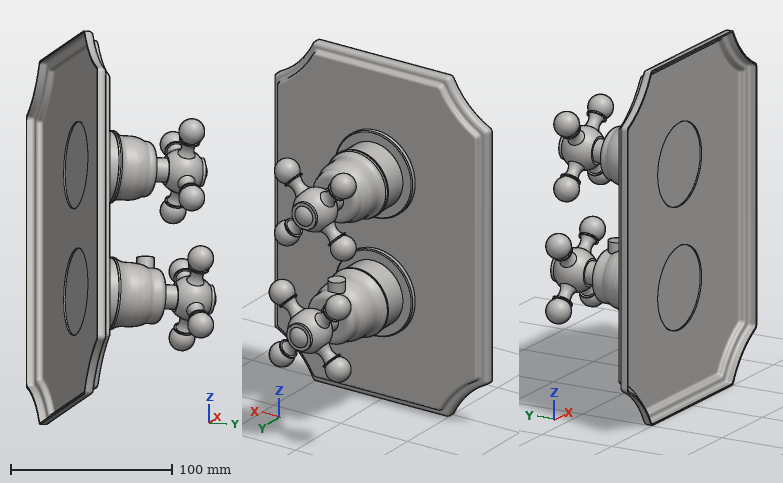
import cadquery as cq
import math


plate_height = 230.0
plate_width = 160.0
plate_depth = 10.0
rim_height = 6.0
rim_round = 3.0
step_inset = 5.0
cove_radius = 1.8
panel_round = 1.95
shelf_tolerance = 0.02
corner_center_offset = 25.0
corner_scallop_radius = 60.0
corner_blend = 3.2

rim_wall = 1.0
sheet_thickness = 1.0
hollow_rim_round = 1.95
hollow_step_inset = 5.0
hollow_corner_blend = 2.5

valve_spacing = 80.0
opening_radius = 27.1
flange_radius = 29.0
flange_top = 13.3
flange_chamfer = 0.7
sleeve_radius = 22.0
sleeve_top = 30.4
ring_radius = 22.8
ring_top = 31.5
flare_radius = 22.3
flare_base = 32.7
barrel_radius = 20.0
shoulder_radius = 18.2
collar_radius = 17.2
collar_round = 4.1
flare_hollow = 0.5
neck_hollow = 0.2

upper_body = {"barrel_base": 36.5, "barrel_top": 43.2, "shoulder_top": 50.4, "neck_top": 53.0, "top": 57.5}
lower_body = {"barrel_base": 38.9, "barrel_top": 43.7, "shoulder_top": 52.7, "neck_top": 55.2, "top": 63.2}

stem_radius = 7.5
hub_radius = 14.0
hub_base = 9.5
hub_cap_radius = 9.0
hub_center = hub_base + math.sqrt(hub_radius**2 - hub_cap_radius**2)
cap_base = 2 * hub_center - hub_base
cap_top = 33.0
dome_radius = 6.7
dome_top = 35.9

arm_base_radius = 5.5
arm_waist_radius = 4.0
arm_end_radius = 5.3
arm_base = math.sqrt(hub_radius**2 - arm_base_radius**2)
bead_radius = 6.5
bead_start = 22.5
bead_end = 23.5
ball_radius = 8.0
ball_center = 29.7
arm_count = 4

pin_radius = 5.5
pin_height = 53.8
pin_reach = 24.0


def plate_outline(inset):
    """Rectangle with concave corners, drawn in XZ and offset inward by inset."""
    half_x = plate_width / 2 - inset
    half_z = plate_height / 2 - inset
    center_x = plate_width / 2 + corner_center_offset
    center_z = plate_height / 2 + corner_center_offset
    radius = corner_scallop_radius + inset
    reach = math.sqrt(radius**2 - (corner_center_offset + inset) ** 2)
    edge_x = center_x - reach
    edge_z = center_z - reach
    mid_x = center_x - radius / math.sqrt(2)
    mid_z = center_z - radius / math.sqrt(2)
    return (
        cq.Workplane("XZ")
        .moveTo(-edge_x, half_z)
        .lineTo(edge_x, half_z)
        .threePointArc((mid_x, mid_z), (half_x, edge_z))
        .lineTo(half_x, -edge_z)
        .threePointArc((mid_x, -mid_z), (edge_x, -half_z))
        .lineTo(-edge_x, -half_z)
        .threePointArc((-mid_x, -mid_z), (-half_x, -edge_z))
        .lineTo(-half_x, edge_z)
        .threePointArc((-mid_x, mid_z), (-edge_x, half_z))
        .close()
    )


def moulded_block(inset, base_height, base_round, panel_inset, top_height, blend):
    """Stepped block: rounded rim, cove, and a raised panel with rounded edge."""
    base = plate_outline(inset).extrude(-base_height).edges("|Y").fillet(blend)
    base = base.faces(">Y").edges().fillet(base_round)
    panel = plate_outline(inset + panel_inset).extrude(-top_height).edges("|Y").fillet(blend)
    panel = panel.faces(">Y").edges().fillet(panel_round)
    block = base.union(panel)
    shelf = block.faces(cq.selectors.BoxSelector(
        (-plate_width, base_height - shelf_tolerance, -plate_height),
        (plate_width, base_height + shelf_tolerance, plate_height),
        boundingbox=True,
    )).val()
    cove_edges = shelf.innerWires()[0].Edges()
    return block.newObject(cove_edges).fillet(cove_radius)


def make_plate():
    outside = moulded_block(0, rim_height, rim_round, step_inset, plate_depth, corner_blend)
    hollow = moulded_block(
        rim_wall,
        rim_height - sheet_thickness,
        hollow_rim_round,
        hollow_step_inset,
        plate_depth - sheet_thickness,
        hollow_corner_blend,
    )
    openings = (
        cq.Workplane("XZ")
        .pushPoints([(0, valve_spacing / 2), (0, -valve_spacing / 2)])
        .circle(opening_radius)
        .extrude(-plate_depth)
    )
    return outside.cut(hollow).cut(openings)


def make_body(body):
    """Turned valve body about the Y axis."""
    return (
        cq.Workplane("XY")
        .moveTo(0, plate_depth)
        .lineTo(flange_radius, plate_depth)
        .lineTo(flange_radius, flange_top - flange_chamfer)
        .lineTo(flange_radius - flange_chamfer, flange_top)
        .lineTo(sleeve_radius, flange_top)
        .lineTo(sleeve_radius, sleeve_top)
        .lineTo(ring_radius, sleeve_top)
        .lineTo(ring_radius, ring_top)
        .lineTo(flare_radius, flare_base)
        .sagittaArc((barrel_radius, body["barrel_base"]), flare_hollow)
        .lineTo(barrel_radius, body["barrel_top"])
        .tangentArcPoint((shoulder_radius, body["shoulder_top"]), relative=False)
        .sagittaArc((collar_radius, body["neck_top"]), neck_hollow)
        .lineTo(collar_radius, body["top"] - collar_round)
        .tangentArcPoint((collar_radius - collar_round, body["top"]), relative=False)
        .lineTo(0, body["top"])
        .close()
        .revolve(360, (0, 0), (0, 1))
    )


def dome_midpoint():
    """Point of the dome's spherical profile halfway between rim and axis."""
    rise = dome_top - cap_top
    radius = (dome_radius**2 + rise**2) / (2 * rise)
    half_angle = math.asin(dome_radius / radius) / 2
    return (radius * math.sin(half_angle), dome_top - radius + radius * math.cos(half_angle))


def make_hub():
    """Stem, truncated ball, cap and dome, starting at the body top (Y = 0)."""
    return (
        cq.Workplane("XY")
        .lineTo(stem_radius, 0)
        .lineTo(stem_radius, hub_base)
        .lineTo(hub_cap_radius, hub_base)
        .threePointArc((hub_radius, hub_center), (hub_cap_radius, cap_base))
        .lineTo(hub_cap_radius, cap_top)
        .lineTo(dome_radius, cap_top)
        .threePointArc(dome_midpoint(), (0, dome_top))
        .close()
        .revolve(360, (0, 0), (0, 1))
    )


def make_arm():
    """Waisted arm with a bead and a ball, turned about the Z axis."""
    ball_at_bead = math.sqrt(ball_radius**2 - (ball_center - bead_end) ** 2)
    return (
        cq.Workplane("XZ")
        .lineTo(arm_base_radius, 0)
        .lineTo(arm_base_radius, arm_base)
        .threePointArc((arm_waist_radius, (arm_base + bead_start) / 2), (arm_end_radius, bead_start))
        .lineTo(bead_radius, bead_start)
        .lineTo(bead_radius, bead_end)
        .lineTo(ball_at_bead, bead_end)
        .threePointArc((ball_radius, ball_center), (0, ball_center + ball_radius))
        .close()
        .revolve(360, (0, 0), (0, 1))
    )


def make_handle():
    handle = make_hub()
    for index in range(arm_count):
        angle = (index + 0.5) * 360 / arm_count
        arm = make_arm().rotate((0, 0, 0), (0, 1, 0), angle)
        handle = handle.union(arm.translate((0, hub_center, 0)))
    return handle


def make_valve(body):
    return make_body(body).union(make_handle().translate((0, body["top"], 0)))


def make_stop_pin():
    return cq.Workplane("XY").center(0, pin_height).circle(pin_radius).extrude(pin_reach)


upper_valve = make_valve(upper_body).translate((0, 0, valve_spacing / 2))
lower_valve = make_valve(lower_body).union(make_stop_pin()).translate((0, 0, -valve_spacing / 2))
result = make_plate().union(upper_valve).union(lower_valve)